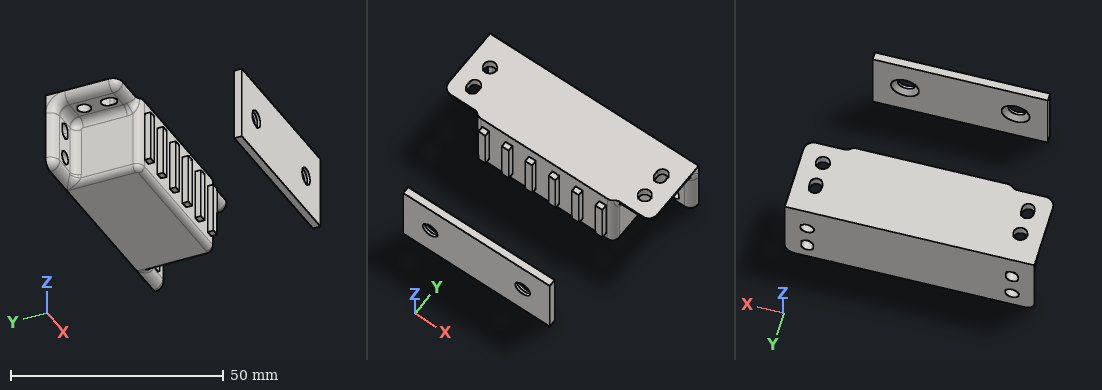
import cadquery as cq
import math

housing_width = 61.0
housing_depth = 20.0
housing_height = 20.0

block_side_inset = 10.0
block_width = housing_width - 2 * block_side_inset
block_front_radius = 2.0
block_bottom_radius = 1.5

flange_thickness = 2.5
top_flange_depth = 19.0
flange_corner_radius = 2.5
flange_inner_radius = 2.5
flange_edge_land = 0.01
flange_edge_radius = flange_thickness - flange_edge_land
flange_to_block_radius = 2.0

hole_x = housing_width / 2 - 5.5
hole_diameter = 3.35
slot_width = 3.0
slot_length = 4.0
near_hole_distance = 7.5
top_far_hole_distance = 14.0
back_far_hole_distance = 15.0

bar_count = 6
bar_pitch = 6.85
bar_width = 2.0
bar_height = 13.0
bar_depth = 1.5

plate_width = 42.8
plate_height = 19.1
plate_thickness = 2.0
plate_front_y = -47.0
plate_hole_diameter = 4.3
plate_hole_spacing = 27.0
countersink_depth = 1.3
countersink_angle = 90.0

mid_height = housing_height / 2


def make_flanges():
    """L-shaped pair of flanges with rounded corners and rounded free edges."""
    profile = [
        (0, 0),
        (0, housing_height),
        (-top_flange_depth, housing_height),
        (-top_flange_depth, housing_height - flange_thickness),
        (-flange_thickness, housing_height - flange_thickness),
        (-flange_thickness, 0),
    ]
    flanges = cq.Workplane("YZ").polyline(profile).close().extrude(housing_width / 2, both=True)
    inner_corner = cq.selectors.NearestToPointSelector(
        (0, -flange_thickness, housing_height - flange_thickness)
    )
    flanges = flanges.edges(inner_corner).fillet(flange_inner_radius)
    flanges = flanges.faces("<Y").edges("|Z").fillet(flange_corner_radius)
    flanges = flanges.faces("<Z").edges("|Y").fillet(flange_corner_radius)
    inner_edge = cq.selectors.NearestToPointSelector((0, -flange_thickness, 0))
    return flanges.edges(inner_edge).fillet(flange_edge_radius)


def make_block():
    """Central block with rounded front corners and a rounded underside."""
    block = cq.Workplane("XY").box(
        block_width, housing_depth, housing_height, centered=(True, False, False)
    ).translate((0, -housing_depth, 0))
    block = block.faces("<Y").edges("|Z").fillet(block_front_radius)
    return block.faces("<Z").edges("not >Y").fillet(block_bottom_radius)


def mounting_holes(near, far, reach):
    """Vertical cutters for four mounting holes at the near and far distances along -Y.

    The -X end has its round hole near and its slot far; the +X end is the other way round.
    """
    round_holes = (
        cq.Workplane("XY")
        .pushPoints([(-hole_x, -near), (hole_x, -far)])
        .circle(hole_diameter / 2)
        .extrude(reach)
    )
    slots = (
        cq.Workplane("XY")
        .pushPoints([(hole_x, -near), (-hole_x, -far)])
        .slot2D(slot_length, slot_width, angle=90)
        .extrude(reach)
    )
    return round_holes.union(slots)


def make_housing():
    """Flanges and block in one body, blended where they join, with the mounting holes cut."""
    housing = make_flanges().union(make_block())
    for side in (-1, 1):
        join_edge = cq.selectors.NearestToPointSelector(
            (side * block_width / 2, -top_flange_depth / 2, housing_height - flange_thickness)
        )
        housing = housing.edges(join_edge).fillet(flange_to_block_radius)
    top_holes = mounting_holes(near_hole_distance, top_far_hole_distance, -flange_thickness).translate(
        (0, 0, housing_height)
    )
    back_holes = (
        mounting_holes(near_hole_distance, back_far_hole_distance, flange_thickness)
        .mirror("YZ")
        .rotate((0, 0, 0), (1, 0, 0), 90)
        .translate((0, 0, housing_height))
    )
    return housing.cut(top_holes).cut(back_holes)


def make_bar(x):
    """One upright grip bar standing on the block front at the given X."""
    return cq.Workplane("XY").box(bar_width, bar_depth, bar_height).translate(
        (x, -housing_depth - bar_depth / 2, mid_height)
    )


def make_plate():
    """Flat front plate with two round through holes, countersunk from the back."""
    countersink_spread = 2 * countersink_depth * math.tan(math.radians(countersink_angle / 2))
    plate = cq.Workplane("XY").box(plate_width, plate_thickness, plate_height)
    plate = (
        plate.faces(">Y")
        .workplane(centerOption="CenterOfBoundBox")
        .rarray(plate_hole_spacing, 0.6, 2, 1)
        .cskHole(plate_hole_diameter, plate_hole_diameter + countersink_spread, countersink_angle)
    )
    return plate.translate((0, plate_front_y + plate_thickness / 2, mid_height))


housing = make_housing()
bars = [make_bar((i - (bar_count - 1) / 2) * bar_pitch) for i in range(bar_count)]
plate = make_plate()

result = cq.Compound.makeCompound([housing.val(), *[bar.val() for bar in bars], plate.val()])